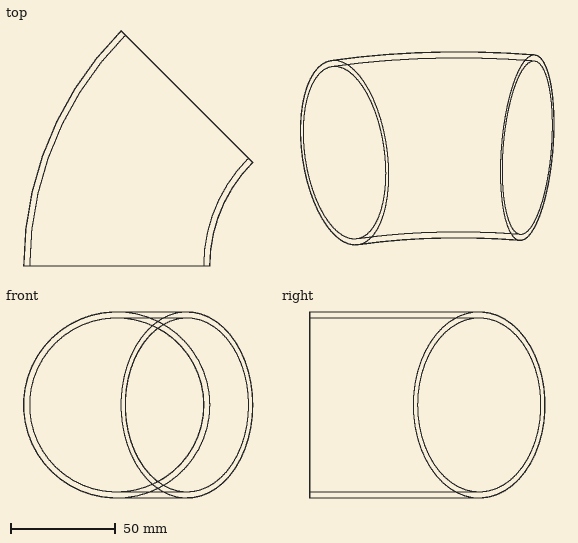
import cadquery as cq
import math

overall_length = 112.4
outer_diameter = 88.9
wall_thickness = 2.9
bend_angle = 45.0

outer_radius = outer_diameter / 2
inner_radius = outer_radius - wall_thickness

bend_radius = overall_length / math.sin(math.radians(bend_angle)) - outer_radius

result = (
    cq.Workplane("XZ")
    .circle(outer_radius)
    .circle(inner_radius)
    .revolve(bend_angle, (bend_radius, 1.1, 0), (bend_radius, 0, 0))
)